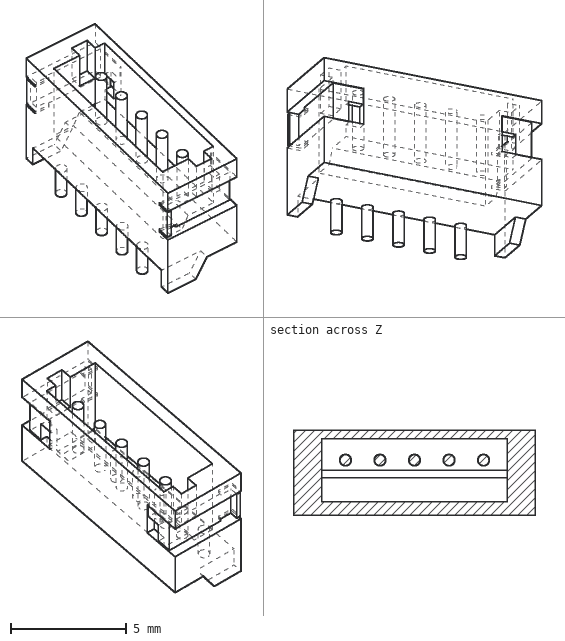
import cadquery as cq

LENGTH = 10.5
DEPTH = 3.7
HEIGHT = 6.0
UNDERSIDE_Z = 1.0

FOOT_WIDTH = 0.5
FOOT_BOTTOM_DEPTH = 1.5
FOOT_TOP_DEPTH = 2.1

CAVITY_LENGTH = 8.04
FRONT_WALL = 0.6
REAR_WALL = 0.38
FRONT_FLOOR_Z = 2.0
FLOOR_STEP = 0.64
FLOOR_SLOPE_FRONT_Y = 1.64
FLOOR_SLOPE_REAR_Y = 1.96

KEY_SPAN = 9.2
KEY_WIDTH = 0.82
KEY_FLOOR_Z = 4.17

GROOVE_BOTTOM_Z = 3.2
GROOVE_TOP_Z = 4.9
GROOVE_DEPTH = 0.46

FLAP_THICKNESS = 0.2
FLAP_SETBACK = 0.04
FLAP_BOTTOM_Z = 3.32
FLAP_TOP_Z = 4.8
SLIT_LENGTH = 0.66
SLIT_DEPTH = 0.75

RECESS_DEPTH = 0.06
WINDOW_INNER_X = 3.34

PIN_COUNT = 5
PIN_PITCH = 1.5
PIN_DIAMETER = 0.5
CONTACT_Y = 2.4
CONTACT_TOP_Z = 5.3
TAIL_Y = PIN_DIAMETER / 2
TAIL_BOTTOM_Z = -0.5

END_X = LENGTH / 2
CAVITY_END_X = CAVITY_LENGTH / 2
CAVITY_REAR_Y = DEPTH - REAR_WALL
REAR_FLOOR_Z = FRONT_FLOOR_Z + FLOOR_STEP


def block(x_range, y_range, z_range):
    """Axis-aligned box between the given limits."""
    corner = (x_range[0], y_range[0], z_range[0])
    size = (x_range[1] - x_range[0], y_range[1] - y_range[0], z_range[1] - z_range[0])
    return cq.Workplane("XY").box(*size, centered=False).translate(corner)


def both_ends(shape):
    """The shape at the +X end together with its mirror image at the -X end."""
    return shape.union(shape.mirror("YZ"))


def side_profile(points, x_range):
    """Profile of (Y, Z) points extruded along X."""
    outline = cq.Workplane("YZ").workplane(offset=x_range[0]).polyline(points).close()
    return outline.extrude(x_range[1] - x_range[0])


def make_housing():
    body = block((-END_X, END_X), (0, DEPTH), (UNDERSIDE_Z, HEIGHT))
    foot_points = [
        (0, 0),
        (FOOT_BOTTOM_DEPTH, 0),
        (FOOT_TOP_DEPTH, UNDERSIDE_Z),
        (0, UNDERSIDE_Z),
    ]
    foot = side_profile(foot_points, (END_X - FOOT_WIDTH, END_X))
    return body.union(both_ends(foot))


def make_cavity():
    cavity_points = [
        (FRONT_WALL, HEIGHT),
        (FRONT_WALL, FRONT_FLOOR_Z),
        (FLOOR_SLOPE_FRONT_Y, FRONT_FLOOR_Z),
        (FLOOR_SLOPE_REAR_Y, REAR_FLOOR_Z),
        (CAVITY_REAR_Y, REAR_FLOOR_Z),
        (CAVITY_REAR_Y, HEIGHT),
    ]
    cavity = side_profile(cavity_points, (-CAVITY_END_X, CAVITY_END_X))
    keyways = block(
        (-KEY_SPAN / 2, KEY_SPAN / 2),
        (CONTACT_Y - KEY_WIDTH / 2, CONTACT_Y + KEY_WIDTH / 2),
        (KEY_FLOOR_Z, HEIGHT),
    )
    return cavity.union(keyways)


def make_end_groove():
    """Material removed around the flap at the +X end."""
    groove_z = (GROOVE_BOTTOM_Z, GROOVE_TOP_Z)
    groove = block((END_X - GROOVE_DEPTH, END_X), (FLAP_THICKNESS, DEPTH), groove_z)
    setback = block((END_X - FLAP_SETBACK, END_X), (0, FLAP_THICKNESS), groove_z)
    cut = groove.union(setback)
    for slit_z in ((GROOVE_BOTTOM_Z, FLAP_BOTTOM_Z), (FLAP_TOP_Z, GROOVE_TOP_Z)):
        cut = cut.union(block((END_X - SLIT_LENGTH, END_X), (0, SLIT_DEPTH), slit_z))
    return cut


def make_rear_window():
    """Recess and window through the rear wall near the +X end."""
    recess = block(
        (WINDOW_INNER_X, END_X),
        (DEPTH - RECESS_DEPTH, DEPTH),
        (GROOVE_BOTTOM_Z, GROOVE_TOP_Z),
    )
    window = block(
        (WINDOW_INNER_X, CAVITY_END_X),
        (CAVITY_REAR_Y, DEPTH),
        (GROOVE_BOTTOM_Z, KEY_FLOOR_Z),
    )
    return recess.union(window)


def make_pin(x, y, bottom_z, top_z):
    pin = cq.Workplane("XY").circle(PIN_DIAMETER / 2).extrude(top_z - bottom_z)
    return pin.translate((x, y, bottom_z))


result = make_housing().cut(make_cavity())
result = result.cut(both_ends(make_end_groove()))
result = result.cut(both_ends(make_rear_window()))

for index in range(PIN_COUNT):
    pin_x = (index - (PIN_COUNT - 1) / 2) * PIN_PITCH
    result = result.union(make_pin(pin_x, CONTACT_Y, FRONT_FLOOR_Z, CONTACT_TOP_Z))
    result = result.union(make_pin(pin_x, TAIL_Y, TAIL_BOTTOM_Z, FRONT_FLOOR_Z))